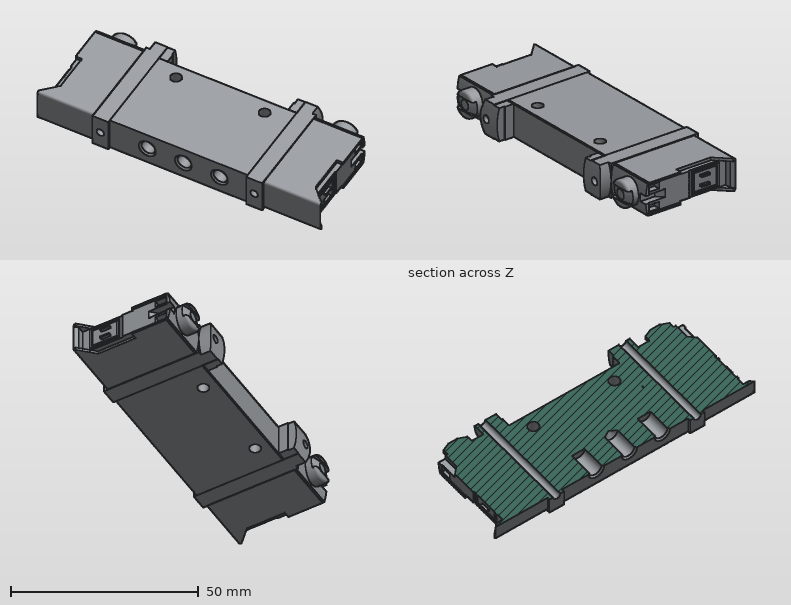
import cadquery as cq
import math


STRAP_HEIGHT = 10.25
STRAP_DEPTH = 33.1
STRAP_INNER_X = 21.0
STRAP_OUTER_X = 25.9
STRAP_MID_X = (STRAP_INNER_X + STRAP_OUTER_X) / 2
STRAP_HOLE_D = 2.3
CROWN_DROP = 0.8
STRAP_END_Y = 29.4
STRAP_END_SAG = 1.1
TAIL_HEIGHT = 9.9
TAIL_INNER_X = 18.4
TAIL_STEP = 0.3
TAIL_STEP_Y = 30.6

BODY_HEIGHT = 10.15
BODY_FRONT_Y = 0.85
BODY_BACK_Y = 27.75
BODY_BACK_CHAMFER = 0.25
MOUNT_HOLE_D = 3.2
MOUNT_HOLE_X = 13.5
MOUNT_HOLE_Y = 23.45
PORT_D = 4.13
PORT_MOUTH_D = 5.2
PORT_DEPTH = 8.0
PORT_PITCH = 11.0
PORT_MID_X = 1.4
DRILL_POINT_ANGLE = 118.0

BLOCK_HEIGHT = 9.75
BLOCK_FRONT_Y = 0.8
BLOCK_END_X = 40.8
BLOCK_BACK_Y = 29.35
OVERALL_LENGTH = 86.32
LIP_END_X = OVERALL_LENGTH / 2
LIP_THICKNESS = 0.8
FRONT_RADIUS = 0.75
BACK_STEP_Y = 28.1
BACK_STEP = 0.12
WALL_END_X = 38.87
WALL_BACK_Y = 17.5
LIP_FLOOR_Y = 1.9
TIP_THICKNESS = 0.1
CORE_HEIGHT = 8.0

PANEL_X = 40.5
PANEL_HEIGHT = 8.55
CONNECTOR_FLOOR_X = 40.2
CONNECTOR_BACK_Y = 14.3
FRAME_X = 40.55
FRAME_FRONT_Y = 4.4
FRAME_BACK_Y = 13.35
FRAME_HEIGHT = 7.0
FRAME_RIM = 0.6
PIN_X = 41.05
PIN_FRONT_Y = 7.75
PIN_LENGTH = 2.8
PIN_HEIGHT = 0.5
PIN_SPACING = 2.9
SLOT_HEIGHT = 2.4
SLOT_DEPTH = 2.0
SLOT_START_Y = 22.5
SLOT_FLOOR_Y = 24.5
WINDOW_FRONT_Y = 24.6
WINDOW_BACK_Y = 28.0
WINDOW_INNER_Z = 1.95
WINDOW_OUTER_Z = 3.9
WINDOW_DEPTH = 2.0

BUTTON_D = 8.1
BUTTON_X = 33.7
BUTTON_TIP_Y = 32.5
BUTTON_FILLET = 0.9
BUTTON_SLOT_WIDTH = 3.9
BUTTON_SLOT_DEPTH = 1.3
BUTTON_CONE_TOP_D = 3.0
BUTTON_CONE_TOP_Y = 32.3


def box(x0, x1, y0, y1, height, mid_z=0.0):
    """Box between two X and two Y positions, centred on mid_z."""
    center = ((x0 + x1) / 2, (y0 + y1) / 2, mid_z)
    return cq.Workplane("XY").box(x1 - x0, y1 - y0, height).translate(center)


def prism(points, height):
    """Outline in X and Y, extruded symmetrically about Z = 0."""
    return cq.Workplane("XY").polyline(points).close().extrude(height / 2, both=True)


def crowned_box(x0, x1, y0, y1, height):
    """Box whose back face is an arc about the X direction, highest at Z = 0."""
    half = STRAP_HEIGHT / 2
    crown = (
        cq.Workplane("YZ", origin=(x0, 0, 0))
        .moveTo(y0, -half)
        .lineTo(y1 - CROWN_DROP, -half)
        .threePointArc((y1, 0), (y1 - CROWN_DROP, half))
        .lineTo(y0, half)
        .close()
        .extrude(x1 - x0)
    )
    return crown.intersect(box(x0, x1, y0, y1, height))


def cylinder_along_y(x, diameter, y0, y1):
    return cq.Workplane("XZ", origin=(x, y0, 0)).circle(diameter / 2).extrude(y0 - y1)


def make_port(x, pointed):
    """Cutter for a front port with a countersunk mouth and a flat or drill-pointed bottom."""
    radius = PORT_D / 2
    mouth_radius = PORT_MOUTH_D / 2
    bottom_y = BODY_FRONT_Y + PORT_DEPTH
    tip_y = bottom_y
    if pointed:
        tip_y += radius / math.tan(math.radians(DRILL_POINT_ANGLE / 2))
    profile = cq.Workplane("XY").moveTo(0, BODY_FRONT_Y).lineTo(mouth_radius, BODY_FRONT_Y)
    profile = profile.lineTo(radius, BODY_FRONT_Y + mouth_radius - radius).lineTo(radius, bottom_y)
    return profile.lineTo(0, tip_y).close().revolve(360, (0, 0), (0, 1)).translate((x, 0, 0))


def make_body():
    body = box(-STRAP_MID_X, STRAP_MID_X, BODY_FRONT_Y, BODY_BACK_Y, BODY_HEIGHT)
    body = body.faces(">Y").edges("|X").chamfer(BODY_BACK_CHAMFER)
    for x in (-MOUNT_HOLE_X, MOUNT_HOLE_X):
        hole = cq.Workplane("XY").center(x, MOUNT_HOLE_Y).circle(MOUNT_HOLE_D / 2)
        body = body.cut(hole.extrude(BODY_HEIGHT, both=True))
    for step in (-1, 0, 1):
        body = body.cut(make_port(PORT_MID_X + step * PORT_PITCH, pointed=(step == 0)))
    return body


def make_strap():
    strap = crowned_box(STRAP_INNER_X, STRAP_OUTER_X, 0, STRAP_DEPTH, STRAP_HEIGHT)
    half = STRAP_HEIGHT / 2
    corner_x = STRAP_OUTER_X - STRAP_END_SAG
    rounded_end = (
        cq.Workplane("XZ", origin=(0, STRAP_END_Y, 0))
        .moveTo(STRAP_INNER_X, -half)
        .lineTo(corner_x, -half)
        .threePointArc((STRAP_OUTER_X, 0), (corner_x, half))
        .lineTo(STRAP_INNER_X, half)
        .close()
        .extrude(STRAP_END_Y - STRAP_DEPTH)
    )
    front = box(STRAP_INNER_X, STRAP_OUTER_X, 0, STRAP_END_Y, STRAP_HEIGHT)
    strap = strap.intersect(front.union(rounded_end))

    tail = crowned_box(TAIL_INNER_X, STRAP_INNER_X, BODY_BACK_Y, STRAP_DEPTH, TAIL_HEIGHT)
    step = box(TAIL_INNER_X, TAIL_INNER_X + TAIL_STEP, TAIL_STEP_Y, STRAP_DEPTH, STRAP_HEIGHT)
    return strap.union(tail.cut(step))


def make_block():
    """Coil block with its projecting front lip and the thin walls beside the connector."""
    block = crowned_box(STRAP_MID_X, BLOCK_END_X, BLOCK_FRONT_Y, BLOCK_BACK_Y, BLOCK_HEIGHT)
    lip_back_y = BLOCK_FRONT_Y + LIP_THICKNESS
    slope_end_y = lip_back_y + LIP_END_X - WALL_END_X
    lip = prism(
        [
            (STRAP_MID_X, BLOCK_FRONT_Y),
            (LIP_END_X, BLOCK_FRONT_Y),
            (LIP_END_X, lip_back_y),
            (WALL_END_X, slope_end_y),
            (STRAP_MID_X, slope_end_y),
        ],
        BLOCK_HEIGHT,
    )
    block = block.union(lip)

    rounded_bar = box(STRAP_MID_X, LIP_END_X, BLOCK_FRONT_Y, BLOCK_BACK_Y, BLOCK_HEIGHT)
    rounded_bar = rounded_bar.faces("<Y").edges("|X").fillet(FRONT_RADIUS)
    block = block.intersect(rounded_bar)

    side_relief = prism(
        [
            (WALL_END_X, slope_end_y),
            (LIP_END_X, lip_back_y),
            (LIP_END_X, WALL_BACK_Y),
            (WALL_END_X, WALL_BACK_Y),
        ],
        BLOCK_HEIGHT,
    )
    core = box(WALL_END_X, LIP_END_X, 0, WALL_BACK_Y, CORE_HEIGHT)
    block = block.cut(side_relief.cut(core))

    tip_y = BLOCK_FRONT_Y + TIP_THICKNESS
    lip_recess = prism(
        [
            (CONNECTOR_FLOOR_X, LIP_FLOOR_Y),
            (LIP_END_X - (LIP_FLOOR_Y - tip_y), LIP_FLOOR_Y),
            (LIP_END_X, tip_y),
            (LIP_END_X, CONNECTOR_BACK_Y),
            (CONNECTOR_FLOOR_X, CONNECTOR_BACK_Y),
        ],
        CORE_HEIGHT,
    )
    block = block.cut(lip_recess)

    full_back = box(STRAP_MID_X, BLOCK_END_X, BACK_STEP_Y, BLOCK_BACK_Y, BLOCK_HEIGHT)
    kept_back = box(STRAP_MID_X, BLOCK_END_X, BACK_STEP_Y, BLOCK_BACK_Y, BLOCK_HEIGHT - 2 * BACK_STEP)
    return block.cut(full_back.cut(kept_back))


def cut_end_panel(block):
    """Recessed panel with two windows and a central slot that runs out at the back."""
    block = block.cut(box(PANEL_X, BLOCK_END_X, WALL_BACK_Y, BACK_STEP_Y, PANEL_HEIGHT))
    block = block.cut(box(PANEL_X, BLOCK_END_X, CONNECTOR_BACK_Y, WALL_BACK_Y, CORE_HEIGHT))
    slot_floor_x = PANEL_X - SLOT_DEPTH
    slot = prism(
        [
            (PANEL_X, SLOT_START_Y),
            (slot_floor_x, SLOT_FLOOR_Y),
            (slot_floor_x, BLOCK_BACK_Y),
            (BLOCK_END_X, BLOCK_BACK_Y),
            (BLOCK_END_X, SLOT_START_Y),
        ],
        SLOT_HEIGHT,
    )
    block = block.cut(slot)
    window_height = WINDOW_OUTER_Z - WINDOW_INNER_Z
    window_z = (WINDOW_OUTER_Z + WINDOW_INNER_Z) / 2
    for z in (-window_z, window_z):
        window_floor_x = PANEL_X - WINDOW_DEPTH
        block = block.cut(box(window_floor_x, PANEL_X, WINDOW_FRONT_Y, WINDOW_BACK_Y, window_height, z))
    return block


def make_connector():
    """Shallow socket frame with two flat contact pins."""
    frame = box(STRAP_MID_X, FRAME_X, FRAME_FRONT_Y, FRAME_BACK_Y, FRAME_HEIGHT)
    pocket = box(
        CONNECTOR_FLOOR_X,
        FRAME_X,
        FRAME_FRONT_Y + FRAME_RIM,
        FRAME_BACK_Y - FRAME_RIM,
        FRAME_HEIGHT - 2 * FRAME_RIM,
    )
    connector = frame.cut(pocket)
    for z in (-PIN_SPACING / 2, PIN_SPACING / 2):
        pin = box(STRAP_MID_X, PIN_X, PIN_FRONT_Y, PIN_FRONT_Y + PIN_LENGTH, PIN_HEIGHT, z)
        connector = connector.union(pin)
    return connector


def make_button():
    """Round button with a wide cross slot whose floor rises as a cone to the middle."""
    button = cylinder_along_y(BUTTON_X, BUTTON_D, BACK_STEP_Y, BUTTON_TIP_Y)
    button = button.faces(">Y").edges().fillet(BUTTON_FILLET)
    slot = box(
        BUTTON_X - BUTTON_D / 2,
        BUTTON_X + BUTTON_D / 2,
        BUTTON_TIP_Y - BUTTON_SLOT_DEPTH,
        BUTTON_TIP_Y,
        BUTTON_SLOT_WIDTH,
    )
    slot_floor_y = BUTTON_TIP_Y - BUTTON_SLOT_DEPTH
    cone = (
        cq.Workplane("XY")
        .moveTo(0, slot_floor_y)
        .lineTo(BUTTON_D / 2, slot_floor_y)
        .lineTo(BUTTON_CONE_TOP_D / 2, BUTTON_CONE_TOP_Y)
        .lineTo(0, BUTTON_CONE_TOP_Y)
        .close()
        .revolve(360, (0, 0), (0, 1))
        .translate((BUTTON_X, 0, 0))
    )
    return button.cut(slot.cut(cone))


def make_end():
    """Everything at the +X end: strap, coil block, connector and button."""
    end = cut_end_panel(make_block())
    return end.union(make_connector()).union(make_button()).union(make_strap())


right_end = make_end()
left_end = right_end.mirror("YZ")
result = make_body().union(right_end).union(left_end)
for hole_x in (-STRAP_MID_X, STRAP_MID_X):
    result = result.cut(cylinder_along_y(hole_x, STRAP_HOLE_D, 0, STRAP_DEPTH))